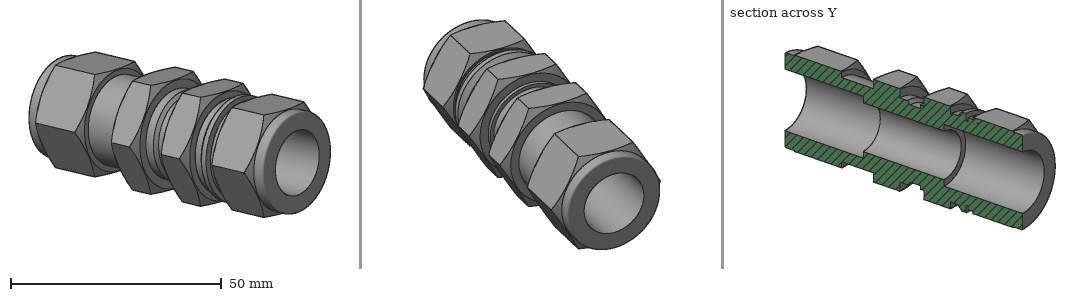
import cadquery as cq
import math

length = 73.35

bore_diameter = 12.7
socket_diameter = 16.1
socket_depth = 24.2

nut_flats = 25.4
collar_diameter = 25.0
collar_length = 2.9
collar_fillet = 0.5
left_nut_length = 14.7
right_nut_length = 12.5
right_nut_start = length - collar_length - right_nut_length

bulkhead_flats = 27.0
bulkhead_hex_length = 8.3
locknut_start = 27.3
body_hex_start = 42.8
body_hex_end = body_hex_start + bulkhead_hex_length

hex_sides = 6
hex_chamfer_angle = 30.0
face_circle_inset = 0.4

barrel_diameter = 22.2
relief_diameter = 20.4
relief_start = 38.7
relief_end = 41.8
relief_taper_start = 37.9

shoulder_diameter = 23.5
shoulder_chamfer = 0.4
flange_diameter = 26.1
flange_cone_start = 53.3
flange_start = 54.6
flange_end = 56.0
end_ring_diameter = 24.3
end_ring_start = 56.5
end_ring_fillet = 0.2


def cylinder(start, end, diameter):
    """Solid cylinder along X."""
    return cq.Workplane("YZ", origin=(start, 0, 0)).circle(diameter / 2).extrude(end - start)


def cone(start, end, start_diameter, end_diameter):
    """Solid truncated cone along X."""
    profile = [(start, 0), (end, 0), (end, end_diameter / 2), (start, start_diameter / 2)]
    return cq.Workplane("XY").polyline(profile).close().revolve(360, (0, 0, 0), (1, 0, 0))


def hexagon(start, hex_length, flats):
    """Hex along X with its corners on the Y axis and both faces chamfered conically."""
    end = start + hex_length
    corners = flats / math.cos(math.pi / hex_sides)
    face_circle = flats - face_circle_inset
    chamfer = (corners - face_circle) / 2 * math.tan(math.radians(hex_chamfer_angle))
    prism = cq.Workplane("YZ", origin=(start, 0, 0)).polygon(hex_sides, corners).extrude(hex_length)
    envelope = (
        cone(start, start + chamfer, face_circle, corners)
        .union(cylinder(start + chamfer, end - chamfer, corners))
        .union(cone(end - chamfer, end, corners, face_circle))
    )
    return prism.intersect(envelope)


body = (
    cylinder(collar_length, relief_taper_start, barrel_diameter)
    .union(cone(relief_taper_start, relief_start, barrel_diameter, relief_diameter))
    .union(cylinder(relief_start, relief_end, relief_diameter))
    .union(cylinder(relief_end, right_nut_start, barrel_diameter))
)

shoulder = cylinder(body_hex_end, flange_cone_start, shoulder_diameter)
end_ring = cylinder(end_ring_start, right_nut_start, end_ring_diameter)
body = (
    body.union(shoulder.edges("<X").chamfer(shoulder_chamfer))
    .union(cone(flange_cone_start, flange_start, shoulder_diameter, flange_diameter))
    .union(cylinder(flange_start, flange_end, flange_diameter))
    .union(end_ring.edges().fillet(end_ring_fillet))
)

body = (
    body.union(hexagon(collar_length, left_nut_length, nut_flats))
    .union(hexagon(locknut_start, bulkhead_hex_length, bulkhead_flats))
    .union(hexagon(body_hex_start, bulkhead_hex_length, bulkhead_flats))
    .union(hexagon(right_nut_start, right_nut_length, nut_flats))
)

left_collar = cylinder(0, collar_length, collar_diameter)
right_collar = cylinder(length - collar_length, length, collar_diameter)
body = body.union(left_collar.edges("<X").fillet(collar_fillet))
body = body.union(right_collar.edges(">X").fillet(collar_fillet))

result = (
    body.cut(cylinder(0, length, bore_diameter))
    .cut(cylinder(0, socket_depth, socket_diameter))
    .cut(cylinder(length - socket_depth, length, socket_diameter))
)